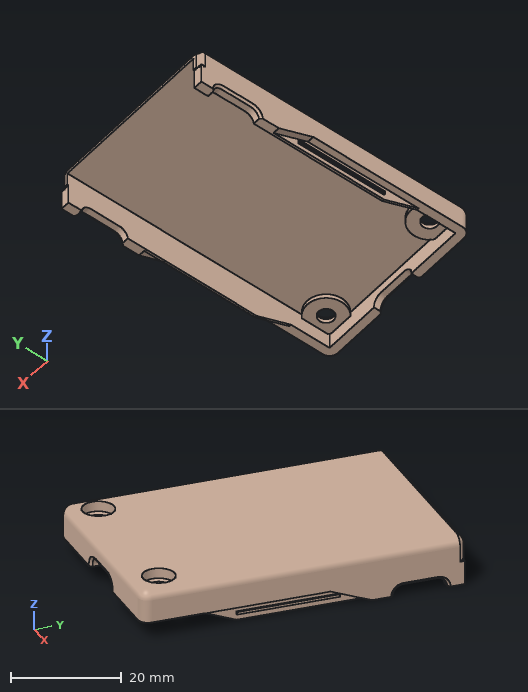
import cadquery as cq


width = 40.0
length = 62.95
height = 9.66
wall = 2.0
edge_radius = 2.0
front_rim_z = 3.2

back_chamfer = 1.15
tongue_depth = 5.0
skirt_setback = 0.25

screw_inset_x = 5.2
screw_inset_y = 5.4
screw_hole_diameter = 3.4
counterbore_diameter = 6.1
counterbore_depth = 2.0
boss_diameter = 8.8
boss_depth = 3.0

arch_width = 10.6
arch_corner_radius = 2.0
arch_chamfer = 0.5
front_arch_height = 2.3
side_arch_height = 1.9
side_arch_from_back = 8.75

latch_thickness = 0.5
latch_front_y = 11.0
latch_back_y = 44.7
latch_slope_run = 8.0
ridge_length = 20.0
ridge_height = 0.5
ridge_depth = 0.4
ridge_center_z = 1.5

roof_underside_z = height - wall
tongue_z = height - tongue_depth
half_width = width / 2


def box(size, low_corner):
    """Axis-aligned box placed by its lowest corner."""
    return cq.Workplane("XY").box(*size, centered=False).translate(low_corner)


def make_shell():
    """Rounded block with its back end chamfered, hollowed from below and behind."""
    block = box((width, length, height), (-half_width, 0, 0))
    block = block.edges("|Z and <Y").fillet(edge_radius)
    block = block.faces(">Z").edges("not >Y").fillet(edge_radius)
    block = block.faces(">Y").edges("not <Z").chamfer(back_chamfer)

    tongue_start = length - back_chamfer
    below_tongue = box((width, back_chamfer, tongue_z), (-half_width, tongue_start, 0))
    skirt_ends = box((width, back_chamfer - skirt_setback, tongue_z), (-half_width, tongue_start, 0))
    block = block.cut(below_tongue).union(skirt_ends)

    cavity = box((width - 2 * wall, length, roof_underside_z), (-half_width + wall, wall, 0))
    return block.cut(cavity)


def sloped_block(bottom_end_y):
    """Full-width block from the front face, up to the front rim, with a sloping back end."""
    top_end_y = bottom_end_y - latch_slope_run
    return (
        cq.Workplane("YZ")
        .polyline([(0, 0), (bottom_end_y, 0), (top_end_y, front_rim_z), (0, front_rim_z)])
        .close()
        .extrude(half_width, both=True)
    )


def make_front_relief():
    """Space under the raised front rim, sloping down to the full skirt depth."""
    return sloped_block(latch_front_y + latch_slope_run)


def make_latch_recess():
    """Outer layer removed from both side skirts, leaving thin latches."""
    recess = sloped_block(latch_back_y)
    core_width = width - 2 * (wall - latch_thickness)
    return recess.cut(box((core_width, length, height), (-core_width / 2, 0, 0)))


def make_ridge(side):
    """Snap ridge on the outer face of one latch; side is -1 or +1."""
    latch_face = half_width - wall + latch_thickness
    depth = latch_thickness + ridge_depth
    center = (
        side * (latch_face + ridge_depth - depth / 2),
        latch_front_y + latch_slope_run + ridge_length / 2,
        ridge_center_z,
    )
    return cq.Workplane("XY").box(depth, ridge_length, ridge_height).translate(center)


def rounded_block(block_width, block_top, corner_radius):
    """Block along Y with rounded long edges, reaching well below Z = 0."""
    block_height = block_top + 2 * corner_radius
    block = cq.Workplane("XY").box(block_width, wall, block_height, centered=(True, False, False))
    return block.edges("|Y").fillet(corner_radius).translate((0, 0, block_top - block_height))


def make_arch(arch_height):
    """Arch cutter for a rim at Z = 0 and a wall whose outer face, at Y = 0, has a flared opening."""
    opening = rounded_block(arch_width, arch_height, arch_corner_radius)
    flare = rounded_block(
        arch_width + 2 * arch_chamfer,
        arch_height + arch_chamfer,
        arch_corner_radius + arch_chamfer,
    )
    flare = flare.translate((0, arch_chamfer - wall, 0)).faces(">Y").chamfer(arch_chamfer)
    return opening.union(flare)


def make_boss(x):
    """Round pad under the roof that carries a screw hole."""
    return (
        cq.Workplane("XY", origin=(x, screw_inset_y, height - boss_depth))
        .circle(boss_diameter / 2)
        .extrude(boss_depth - wall)
    )


def make_screw_hole(x):
    """Counterbored clearance hole from the top of the roof."""
    return (
        cq.Workplane("XY", origin=(x, screw_inset_y, height))
        .circle(screw_hole_diameter / 2)
        .extrude(-height)
        .union(
            cq.Workplane("XY", origin=(x, screw_inset_y, height))
            .circle(counterbore_diameter / 2)
            .extrude(-counterbore_depth)
        )
    )


result = make_shell().cut(make_front_relief()).cut(make_latch_recess())
result = result.cut(make_arch(front_arch_height).translate((0, 0, front_rim_z)))

for side in (-1, 1):
    result = result.union(make_ridge(side))

    side_arch = make_arch(side_arch_height).rotate((0, 0, 0), (0, 0, 1), side * 90)
    result = result.cut(side_arch.translate((side * half_width, length - side_arch_from_back, 0)))

    screw_x = side * (half_width - screw_inset_x)
    result = result.union(make_boss(screw_x)).cut(make_screw_hole(screw_x))